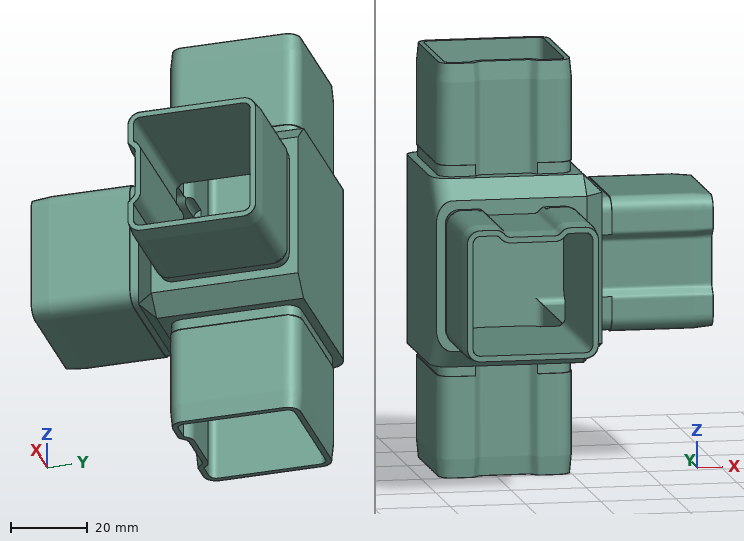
import cadquery as cq
import math


body_width = 40.0
half_body = body_width / 2
body_chamfer = 5.0
body_reach = half_body + body_chamfer
body_fillet = 4.3

arm_length = 30.0
arm_end = body_reach + arm_length
half_arm = 17.9
arm_corner_radius = 4.0
wall = 2.0
neck_length = 3.0
neck_inset = 0.3
taper_length = 5.0
tip_inset = 0.5

groove_depth = 2.0
half_groove_floor = 5.88
groove_floor_radius = 1.5
groove_lip_radius = 1.5
wide_groove_lip_radius = 3.5

flank_angle = math.pi / 4
tangent_factor = math.tan(flank_angle / 2)
mid_run_factor = math.sin(flank_angle / 2)
mid_rise_factor = 1 - math.cos(flank_angle / 2)
sin_45 = math.sin(flank_angle)

origin = (0, 0, 0)
x_axis = (1, 0, 0)
y_axis = (0, 1, 0)


def arm_profile(z, inset, lip_radius):
    """Closed arm section at height z, grooved on its -Y side and moved inward by inset."""
    half = half_arm - inset
    corner = arm_corner_radius - inset
    floor_radius = groove_floor_radius + inset
    lip = max(lip_radius - inset, 0)

    floor_meet = half_groove_floor + floor_radius * tangent_factor
    side_meet = floor_meet + groove_depth
    floor_y = groove_depth - half

    floor_mid_x = half_groove_floor + floor_radius * mid_run_factor
    floor_mid_y = floor_y - floor_radius * mid_rise_factor
    floor_arc_x = floor_meet + floor_radius * tangent_factor * sin_45
    floor_arc_y = floor_y - floor_radius * tangent_factor * sin_45

    lip_arc_x = side_meet - lip * tangent_factor * sin_45
    lip_arc_y = lip * tangent_factor * sin_45 - half
    lip_end = side_meet + lip * tangent_factor
    lip_mid_x = lip_end - lip * mid_run_factor
    lip_mid_y = lip * mid_rise_factor - half

    straight = half - corner
    arc_mid = straight + corner * sin_45

    profile = cq.Workplane("XY").workplane(offset=z).moveTo(-half_groove_floor, floor_y)
    profile = profile.lineTo(half_groove_floor, floor_y)
    profile = profile.threePointArc((floor_mid_x, floor_mid_y), (floor_arc_x, floor_arc_y))
    profile = profile.lineTo(lip_arc_x, lip_arc_y)
    if lip > 0:
        profile = profile.threePointArc((lip_mid_x, lip_mid_y), (lip_end, -half))
    profile = profile.lineTo(straight, -half)
    profile = profile.threePointArc((arc_mid, -arc_mid), (half, -straight))
    profile = profile.lineTo(half, straight)
    profile = profile.threePointArc((arc_mid, arc_mid), (straight, half))
    profile = profile.lineTo(-straight, half)
    profile = profile.threePointArc((-arc_mid, arc_mid), (-half, straight))
    profile = profile.lineTo(-half, -straight)
    profile = profile.threePointArc((-arc_mid, -arc_mid), (-straight, -half))
    profile = profile.lineTo(-lip_end, -half)
    if lip > 0:
        profile = profile.threePointArc((-lip_mid_x, lip_mid_y), (-lip_arc_x, lip_arc_y))
    profile = profile.lineTo(-floor_arc_x, floor_arc_y)
    profile = profile.threePointArc((-floor_mid_x, floor_mid_y), (-half_groove_floor, floor_y))
    return profile.close()


def make_arm(lip_radius):
    """Solid arm along +Z: slightly slimmer neck, full section, tapered tip."""
    neck_end = body_reach + neck_length
    taper_start = arm_end - taper_length
    neck_width = 2 * (half_arm - neck_inset)

    neck_limit = (
        cq.Workplane("XY")
        .rect(neck_width, neck_width)
        .extrude(neck_end)
        .edges("|Z")
        .fillet(arm_corner_radius - neck_inset)
    )
    neck = arm_profile(0, 0, lip_radius).extrude(neck_end).intersect(neck_limit)
    shank = arm_profile(neck_end, 0, lip_radius).extrude(taper_start - neck_end)
    tip_base = arm_profile(taper_start, 0, lip_radius).val()
    tip_face = arm_profile(arm_end, tip_inset, lip_radius).val()
    tip = cq.Workplane(cq.Solid.makeLoft([tip_base, tip_face], ruled=True))
    return neck.union(shank).union(tip)


def make_bore(lip_radius):
    """Cavity of an arm along +Z, from the crossing of the axes to the open end."""
    return arm_profile(0, wall, lip_radius).extrude(arm_end)


def to_bottom(shape):
    """Turn a +Z arm to -Z, keeping its groove on the -Y side."""
    return shape.mirror("XY")


def to_front(shape):
    """Turn a +Z arm to -Y, with its groove on the +Z side."""
    return shape.rotate(origin, x_axis, 90).rotate(origin, y_axis, 180)


def to_side(shape):
    """Turn a +Z arm to +X, keeping its groove on the -Y side."""
    return shape.rotate(origin, y_axis, 90)


def make_body():
    """Solid block, chamfered between the faces that carry arms and rounded on the -X side."""
    block_side = half_body + body_reach
    block_center = (body_reach - half_body) / 2
    block = cq.Workplane("XY").box(block_side, block_side, 2 * body_reach)
    block = block.translate((block_center, -block_center, 0))

    arm_edges = "(|X and <Y) or (|Y and >X) or (|Z and >X and <Y)"
    block = block.edges(arm_edges).chamfer(body_chamfer)

    return block.faces("<X").edges(">Y or (not (|Y or |Z))").fillet(body_fillet)


def make_connector():
    """Body with its four arms, hollowed along every arm."""
    arm = make_arm(groove_lip_radius)
    bore = make_bore(groove_lip_radius)
    front_arm = make_arm(wide_groove_lip_radius)
    front_bore = make_bore(wide_groove_lip_radius)

    solid = make_body().union(arm).union(to_bottom(arm))
    solid = solid.union(to_side(arm)).union(to_front(front_arm))

    for cavity in (bore, to_bottom(bore), to_side(bore), to_front(front_bore)):
        solid = solid.cut(cavity)
    return solid


result = make_connector()